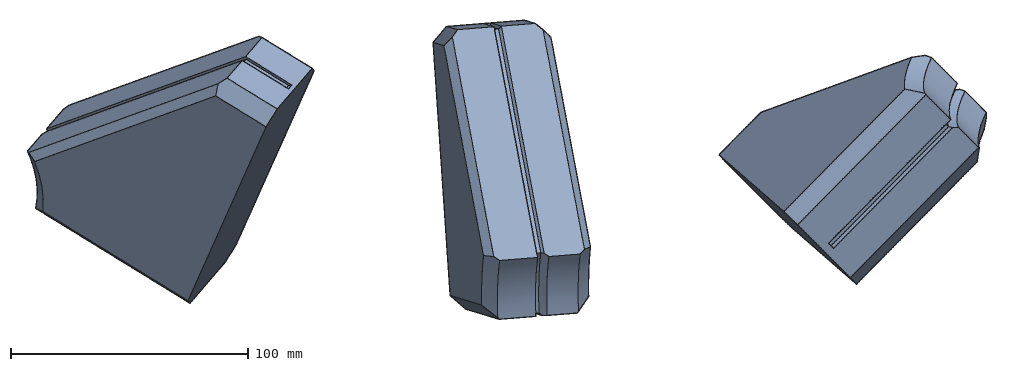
import cadquery as cq
import math

TILT = 20.0
BACK_LENGTH = 119.9
UPPER_WIDTH = 25.1
SLOPE_ANGLE = 55.2
HOLLOW_RADIUS = 44.8
HOLLOW_U = -121.5
HOLLOW_V = -6.7

THICKNESS = 46.0
END_CHAMFER = 6.3
SLOPE_CHAMFER = 3.5
NOSE_CHAMFER = 5.7

GROOVE_WIDTH = 1.9
GROOVE_DEPTH = 1.15
NOSE_GROOVE_DEPTH = 2.9
UPPER_STOP = 1.9
UPPER_FLOOR_STOP = 3.2
LOWER_STOP = 3.8

groove_back = GROOVE_WIDTH / 2
groove_front = -GROOVE_WIDTH / 2
flare_y = groove_front - NOSE_GROOVE_DEPTH


def profile(y, end_inset, slope_inset, nose_inset):
    """Closed outline at height y, with every side but the back moved inward."""
    angle = math.radians(SLOPE_ANGLE)
    cosine = math.cos(angle)
    sine = math.sin(angle)
    radius = HOLLOW_RADIUS + nose_inset
    low = end_inset
    high = BACK_LENGTH - end_inset

    slope_u = -UPPER_WIDTH + slope_inset * sine
    slope_v = BACK_LENGTH - slope_inset * cosine
    upper_u = slope_u + (high - slope_v) * cosine / sine

    from_u = slope_u - HOLLOW_U
    from_v = slope_v - HOLLOW_V
    along = from_u * cosine + from_v * sine
    across = from_u * sine - from_v * cosine
    travel = along - math.sqrt(radius**2 - across**2)
    tip_u = slope_u - travel * cosine
    tip_v = slope_v - travel * sine

    heel_u = HOLLOW_U + math.sqrt(radius**2 - (low - HOLLOW_V)**2)
    tip_angle = math.atan2(tip_v - HOLLOW_V, tip_u - HOLLOW_U)
    heel_angle = math.atan2(low - HOLLOW_V, heel_u - HOLLOW_U)
    middle_angle = (tip_angle + heel_angle) / 2
    middle = (
        HOLLOW_U + radius * math.cos(middle_angle),
        HOLLOW_V + radius * math.sin(middle_angle),
    )
    return (
        cq.Workplane("XZ", origin=(0, y, 0))
        .moveTo(0, low)
        .lineTo(0, high)
        .lineTo(upper_u, high)
        .lineTo(tip_u, tip_v)
        .threePointArc(middle, (heel_u, low))
        .close()
        .val()
    )


def layer(sections):
    """Solid between two outlines."""
    return cq.Workplane(cq.Solid.makeLoft(sections, True))


def slab(start_y, end_y):
    """Straight full outline between two heights, with start_y the greater."""
    face = cq.Face.makeFromWires(profile(start_y, 0, 0, 0))
    return cq.Workplane(cq.Solid.extrudeLinear(face, cq.Vector(0, end_y - start_y, 0)))


def rim_waste(side):
    """Material outside the chamfer planes around one broad face."""
    outer_y = side * THICKNESS / 2
    rim_y = outer_y - side * END_CHAMFER
    taper = layer([
        profile(rim_y, 0, SLOPE_CHAMFER - END_CHAMFER, NOSE_CHAMFER - END_CHAMFER),
        profile(outer_y, END_CHAMFER, SLOPE_CHAMFER, NOSE_CHAMFER),
    ])
    return slab(max(rim_y, outer_y), min(rim_y, outer_y)).cut(taper)


def groove_waste():
    """Groove with a square wall toward +Y and 45 degree walls toward -Y."""
    floor = layer([
        profile(groove_back, GROOVE_DEPTH, GROOVE_DEPTH, NOSE_GROOVE_DEPTH),
        profile(groove_front, GROOVE_DEPTH, GROOVE_DEPTH, NOSE_GROOVE_DEPTH),
    ])
    flare_inset = GROOVE_DEPTH - NOSE_GROOVE_DEPTH
    walls = layer([
        profile(groove_front, GROOVE_DEPTH, GROOVE_DEPTH, NOSE_GROOVE_DEPTH),
        profile(flare_y, flare_inset, flare_inset, 0),
    ])
    waste = slab(groove_back, groove_front).cut(floor)
    return waste.union(slab(groove_front, flare_y).cut(walls)).cut(groove_stop())


def groove_stop():
    """Uncut strip along the back that closes both ends of the groove."""
    return (
        cq.Workplane("XZ", origin=(0, groove_back, 0))
        .polyline([
            (0, 0),
            (0, BACK_LENGTH),
            (-UPPER_STOP, BACK_LENGTH),
            (-UPPER_FLOOR_STOP, BACK_LENGTH - GROOVE_DEPTH),
            (-LOWER_STOP, GROOVE_DEPTH),
            (-LOWER_STOP, 0),
        ])
        .close()
        .extrude(groove_back - flare_y)
    )


result = (
    slab(THICKNESS / 2, -THICKNESS / 2)
    .cut(rim_waste(1))
    .cut(rim_waste(-1))
    .cut(groove_waste())
    .rotate((0, 0, 0), (0, 1, 0), TILT)
)